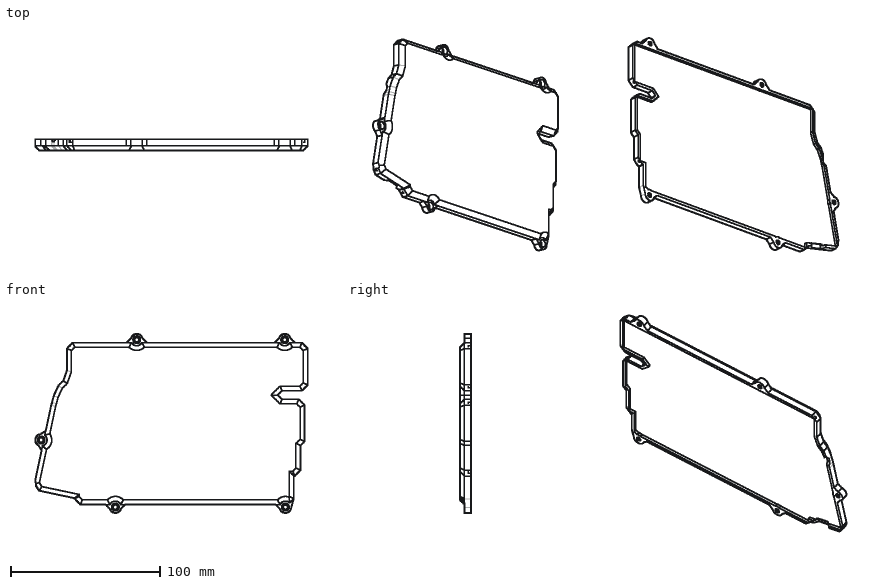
import cadquery as cq
import math

thickness = 7.65
bevel = 3.15
corner_cut = 4.0

recess_depth = 2.0
wall = 1.98

right = 182.54
top = 108.4
upper_left = 21.2
lower_left = 26.3
lower_right = 173.2
middle_right = 177.7
shoulder_right = 180.4
step_drop = shoulder_right - middle_right
step_z = 39.6
ledge_z = 19.1
side_tilt = 12.0
tilt_tan = math.tan(math.radians(side_tilt))

notch_tip_x = 162.4
notch_z = 73.3
notch_half = 2.8

slant_end_z = 4.2
tail_x = -1.3
tail_z = slant_end_z + (lower_left - tail_x) * tilt_tan
side_top_z = 66.7
side_top_x = tail_x + (side_top_z - tail_z) * tilt_tan

corners = [
    (upper_left, top, corner_cut),
    (upper_left, 89.6, 0),
    (18.8, 82.8, 0),
    (15.6, 79.7, 0),
    (12.4, 72.8, 0),
    (11.3, 68.5, 0),
    (side_top_x, side_top_z, 0),
    (tail_x, tail_z, corner_cut),
    (lower_left, slant_end_z, 0),
    (lower_left, 0, corner_cut),
    (lower_right, 0, corner_cut),
    (lower_right, ledge_z, 0),
    (middle_right, ledge_z, corner_cut),
    (middle_right, step_z, 0),
    (shoulder_right, step_z + step_drop, 0),
    (shoulder_right, notch_z - notch_half, corner_cut),
    (notch_tip_x + notch_half, notch_z - notch_half, 0),
    (notch_tip_x, notch_z, 0),
    (notch_tip_x + notch_half, notch_z + notch_half, 0),
    (right, notch_z + notch_half, corner_cut),
    (right, top, corner_cut),
]

tail_trim = [(0.0, 16.2), (0.8, 12.4), (-2.0, 12.4), (-2.0, 16.2)]

ear_radius = 4.0
hole_diameter = 3.0
counterbore_diameter = 5.0
counterbore_depth = 3.0
flank_offset = 3.5
flank_reach = 3.5
ear_spacing_z = 112.0
upper_ear_z = 110.3
lower_ear_z = upper_ear_z - ear_spacing_z
corner_ear_x = 167.5
flanked_ears = [
    (68.0, upper_ear_z, 0),
    (167.0, upper_ear_z, 0),
    (ear_radius, 43.2, side_tilt - 90),
    (53.7, lower_ear_z, 180),
]
ear_centres = [(x, z) for x, z, _ in flanked_ears] + [(corner_ear_x, lower_ear_z)]

side_opening_x = 12.0
side_opening_z = 71.5
side_opening = (7.2, 2.8, 1.75)
slant_opening_x = 17.5
slant_opening = (13.0, 8.0, 2.8)
opening_reach = 6.0


def prism(points, y_front, y_back):
    """Straight prism along Y over a polygon of (x, z) points."""
    return (
        cq.Workplane("XZ", origin=(0, y_back, 0))
        .polyline(points).close().extrude(y_back - y_front)
    )


def cylinder(x, z, radius, y_front, y_back):
    return cq.Workplane("XZ", origin=(x, y_back, z)).circle(radius).extrude(y_back - y_front)


def towards(start, end, distance):
    """Point a given distance from start on the way to end."""
    share = distance / math.dist(start, end)
    return (start[0] + share * (end[0] - start[0]), start[1] + share * (end[1] - start[1]))


def cut_outline():
    points = []
    for i, (x, z, cut) in enumerate(corners):
        before = corners[i - 1][:2]
        after = corners[(i + 1) % len(corners)][:2]
        if cut:
            points.append(towards((x, z), before, cut))
            points.append(towards((x, z), after, cut))
        else:
            points.append((x, z))
    return points


def plate():
    body = prism(cut_outline(), 0, thickness).faces("<Y").chamfer(bevel)
    return body.cut(prism(tail_trim, 0, thickness))


def inward_normal(start, end):
    """Unit vector pointing into the part from an edge of the anticlockwise outline."""
    length = math.dist(start, end)
    return ((start[1] - end[1]) / length, (end[0] - start[0]) / length)


def inset_outline(distance):
    """The outline with its corners uncut, moved inwards with mitred corners."""
    points = []
    for i, (x, z, _) in enumerate(corners):
        ax, az = inward_normal(corners[i - 1][:2], (x, z))
        bx, bz = inward_normal((x, z), corners[(i + 1) % len(corners)][:2])
        mitre = distance / (1 + ax * bx + az * bz)
        points.append((x + mitre * (ax + bx), z + mitre * (az + bz)))
    return points


def back_recess():
    return prism(inset_outline(wall), thickness - recess_depth, thickness)


def wall_opening(x, z, turn, size):
    """Trapezoidal prism through the wall, lying along X and then turned about Y."""
    back_width, bottom_width, depth = size
    profile = [
        (thickness, -back_width / 2), (thickness - depth, -bottom_width / 2),
        (thickness - depth, bottom_width / 2), (thickness, back_width / 2),
    ]
    return (
        cq.Workplane("YZ", origin=(-opening_reach / 2, 0, 0))
        .polyline(profile).close().extrude(opening_reach)
        .rotate((0, 0, 0), (0, 1, 0), turn).translate((x, 0, z))
    )


def ear_clearance(x, z):
    """Cone that clears the bevel in front of an ear."""
    return cq.Solid.makeCone(
        ear_radius + bevel, ear_radius, bevel, cq.Vector(x, 0, z), cq.Vector(0, 1, 0)
    )


def ear_flanks(x, z, turn):
    apex = flank_offset * math.sqrt(2)
    shoulder = apex / 2
    half_base = apex + flank_reach
    points = [
        (-half_base, -flank_reach), (-shoulder, shoulder),
        (shoulder, shoulder), (half_base, -flank_reach),
    ]
    flanks = prism(points, bevel, thickness)
    return flanks.rotate((0, 0, 0), (0, 1, 0), turn).translate((x, 0, z))


def corner_ear_flanks():
    apex = flank_offset * math.sqrt(2)
    shoulder = apex / 2
    x, z = corner_ear_x, lower_ear_z
    points = [
        (x, z), (x - shoulder, z - shoulder), (x - apex - flank_reach, z + flank_reach),
        (x, z + flank_reach), (lower_right, corner_cut), (x + ear_radius, z),
    ]
    return prism(points, bevel, thickness)


def side_opening_cut():
    return wall_opening(side_opening_x, side_opening_z, 0, side_opening)


def slant_opening_cut():
    z = slant_end_z + (lower_left - slant_opening_x) * tilt_tan
    return wall_opening(slant_opening_x, z, side_tilt - 90, slant_opening)


def add_ears(body):
    for x, z in ear_centres:
        body = body.cut(cq.Workplane(ear_clearance(x, z)))
    for x, z in ear_centres:
        body = body.union(cylinder(x, z, ear_radius, bevel, thickness))
    for x, z, turn in flanked_ears:
        body = body.union(ear_flanks(x, z, turn))
    return body.union(corner_ear_flanks())


def cut_screw_holes(body):
    for x, z in ear_centres:
        body = body.cut(cylinder(x, z, hole_diameter / 2, bevel, thickness))
        body = body.cut(cylinder(x, z, counterbore_diameter / 2, bevel, bevel + counterbore_depth))
    return body


cover = plate().cut(back_recess()).cut(side_opening_cut()).cut(slant_opening_cut())
result = cut_screw_holes(add_ears(cover))